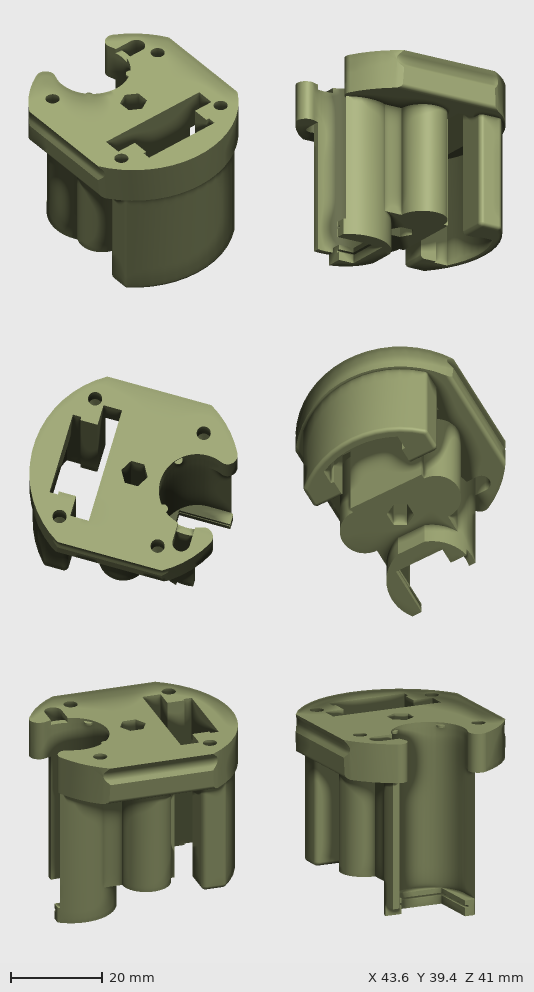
import cadquery as cq
import math

PLATE_RADIUS = 23.0
PLATE_THICKNESS = 8.8
FLAT_SPACING = 39.4
FLAT_Y = FLAT_SPACING / 2
FLAT_DRAFT = 0.17
GROOVE_HEIGHT = 4.0
GROOVE_DEPTH = 1.2
GROOVE_ROUND = 2.0
FLAT_BOTTOM_ROUND = 1.0

TUBE_X = -14.28
BORE_RADIUS = 8.4
TUBE_RADIUS = 9.95
TUBE_END_X = -4.88
LIP_ROUND = 2.18
SHORT_WALL_Z = -38.52

BASE_BOTTOM_Z = -41.0
BASE_TOP_Z = -37.45
BASE_LEFT_X = -20.1
WINDOW_HALF_Y = 5.8
WINDOW_END_X = -8.5
CLIP_DEPTH = 0.85
CLIP_TOP_Z = SHORT_WALL_Z
CLIP_HEIGHT = 0.55

SLOT_LEFT_X = -16.15
SLOT_RIGHT_X = -12.28
SLOT_END_Y = 14.35
SLOT_STEP_Z = -1.18

BLOCK_BOTTOM_Z = -33.8
LOBE_RADIUS = 5.5
LOBE_Y = 8.9
HEX_ACROSS_FLATS = 5.2

LEG_BOTTOM_Z = -34.85
LEG_RADIUS = 22.3
LEG_HALF_Y = 15.4
LEG_EDGE_ROUND = 1.0
LEG_BOTTOM_ROUND = 0.85
LEG_WALL = 2.0
RING_INSIDE_TOP_Z = -10.0
POCKET_LEFT_X = 6.6
POCKET_MID_X = 10.85
POCKET_STEP_X = 14.75
POCKET_RIGHT_X = 16.67
POCKET_WIDE_HALF_Y = 13.15
POCKET_NECK_HALF_Y = 8.5
POCKET_BACK_HALF_Y = 9.25

SCREW_DIAMETER = 3.1
SCREW_DEPTH = 5.22
SCREW_TIP_ANGLE = 118.0
SCREW_PLACES = [(-9.45, 14.55), (-11.95, -13.05), (13.0, 13.97), (13.0, -14.05)]

DISC_DIAMETER = 2.0
DISC_THICKNESS = 0.5
DISC_TOP_Z = -0.5
DISC_ANGLES = (44, -44)


def box(x0, x1, y0, y1, z0, z1):
    return cq.Workplane("XY").box(x1 - x0, y1 - y0, z1 - z0, centered=False).translate((x0, y0, z0))


def cylinder(x, y, radius, z0, z1):
    return cq.Workplane("XY").workplane(offset=z0).center(x, y).circle(radius).extrude(z1 - z0)


def make_plate_disc():
    """Disc with an open mouth: each tip is an arc tangent to both the rim and the bore."""
    rim_reach = PLATE_RADIUS - LIP_ROUND
    bore_reach = BORE_RADIUS + LIP_ROUND
    tip_x = (rim_reach**2 - bore_reach**2 + TUBE_X**2) / (2 * TUBE_X)
    tip_y = math.sqrt(rim_reach**2 - tip_x**2)
    rim_x = tip_x * PLATE_RADIUS / rim_reach
    rim_y = tip_y * PLATE_RADIUS / rim_reach
    bore_x = TUBE_X + (tip_x - TUBE_X) * BORE_RADIUS / bore_reach
    bore_y = tip_y * BORE_RADIUS / bore_reach
    out_x = (rim_x + bore_x) / 2 - tip_x
    out_y = (rim_y + bore_y) / 2 - tip_y
    stretch = LIP_ROUND / math.hypot(out_x, out_y)
    mid_x = tip_x + out_x * stretch
    mid_y = tip_y + out_y * stretch
    return (
        cq.Workplane("XY").workplane(offset=-PLATE_THICKNESS)
        .moveTo(rim_x, rim_y)
        .threePointArc((PLATE_RADIUS, 0), (rim_x, -rim_y))
        .threePointArc((mid_x, -mid_y), (bore_x, -bore_y))
        .threePointArc((TUBE_X + BORE_RADIUS, 0), (bore_x, bore_y))
        .threePointArc((mid_x, mid_y), (rim_x, rim_y))
        .close().extrude(PLATE_THICKNESS)
    )


def make_plate():
    """Plate disc trimmed to the profile of its two flats."""
    disc = make_plate_disc()
    foot_y = FLAT_Y - FLAT_DRAFT
    profile = (
        cq.Workplane("YZ").workplane(offset=-PLATE_RADIUS)
        .moveTo(-FLAT_Y, 0)
        .lineTo(FLAT_Y, 0)
        .lineTo(FLAT_Y - GROOVE_DEPTH, -GROOVE_HEIGHT / 2)
        .lineTo(FLAT_Y, -GROOVE_HEIGHT)
        .lineTo(foot_y, -PLATE_THICKNESS)
        .lineTo(-foot_y, -PLATE_THICKNESS)
        .lineTo(-FLAT_Y, -GROOVE_HEIGHT)
        .lineTo(-FLAT_Y + GROOVE_DEPTH, -GROOVE_HEIGHT / 2)
        .close().extrude(2 * PLATE_RADIUS)
    )
    apex_y = FLAT_Y - GROOVE_DEPTH
    apex_z = -GROOVE_HEIGHT / 2
    for y in (-apex_y, apex_y):
        profile = profile.edges(cq.selectors.NearestToPointSelector((0, y, apex_z))).fillet(GROOVE_ROUND)
    profile = profile.faces("<Z").edges("|X").fillet(FLAT_BOTTOM_ROUND)
    return disc.intersect(profile)


def make_block():
    block = box(TUBE_X, POCKET_LEFT_X, -LOBE_Y, LOBE_Y, BLOCK_BOTTOM_Z, -PLATE_THICKNESS)
    for y in (-LOBE_Y, LOBE_Y):
        block = block.union(cylinder(0, y, LOBE_RADIUS, BLOCK_BOTTOM_Z, -PLATE_THICKNESS))
    return block


def make_leg_ring():
    """Segment of a round bar; the pocket later shapes it into two legs joined by a round wall."""
    segment = cylinder(0, 0, LEG_RADIUS, LEG_BOTTOM_Z, -PLATE_THICKNESS).intersect(
        box(POCKET_MID_X, LEG_RADIUS, -LEG_HALF_Y, LEG_HALF_Y, LEG_BOTTOM_Z, -PLATE_THICKNESS))
    return segment.edges("|Z").fillet(LEG_EDGE_ROUND).faces("<Z").edges().fillet(LEG_BOTTOM_ROUND)


def make_tube_outside():
    outside = cylinder(TUBE_X, 0, TUBE_RADIUS, BASE_BOTTOM_Z, -PLATE_THICKNESS)
    return outside.intersect(box(BASE_LEFT_X, TUBE_END_X, -TUBE_RADIUS, TUBE_RADIUS,
                                 BASE_BOTTOM_Z, -PLATE_THICKNESS))


def cut_trough(body):
    """Open the tube toward -X, ending its +Y wall early and clearing the floor corner beside it."""
    far_left = TUBE_X - TUBE_RADIUS
    body = body.cut(cylinder(TUBE_X, 0, BORE_RADIUS, BASE_TOP_Z, -PLATE_THICKNESS))
    mouth = box(far_left, TUBE_X, -BORE_RADIUS, 0, BASE_TOP_Z, -PLATE_THICKNESS)
    beyond_short_wall = box(far_left, SLOT_LEFT_X, 0, TUBE_RADIUS, BASE_BOTTOM_Z, -PLATE_THICKNESS)
    under_short_wall = box(far_left, SLOT_RIGHT_X, 0, TUBE_RADIUS, BASE_BOTTOM_Z, SHORT_WALL_Z)
    floor_corner = cylinder(TUBE_X, 0, BORE_RADIUS, SHORT_WALL_Z, BASE_TOP_Z).intersect(
        box(far_left, SLOT_RIGHT_X, 0, BORE_RADIUS, SHORT_WALL_Z, BASE_TOP_Z))
    return body.cut(mouth).cut(beyond_short_wall).cut(under_short_wall).cut(floor_corner)


def cut_base_window(body):
    """Rectangular window in the base floor with a thin groove around its walls."""
    far_left = TUBE_X - TUBE_RADIUS
    window = box(far_left, WINDOW_END_X, -WINDOW_HALF_Y, WINDOW_HALF_Y, BASE_BOTTOM_Z, BASE_TOP_Z)
    clip_half_y = WINDOW_HALF_Y + CLIP_DEPTH
    clip = box(far_left, WINDOW_END_X + CLIP_DEPTH, -clip_half_y, clip_half_y,
               CLIP_TOP_Z - CLIP_HEIGHT, CLIP_TOP_Z)
    return body.cut(window).cut(clip)


def cut_wire_slot(body):
    """Round-ended slot through the plate that leaves the tube wall standing inside it."""
    width = SLOT_RIGHT_X - SLOT_LEFT_X
    round_y = SLOT_END_Y - width / 2
    slot = box(SLOT_LEFT_X, SLOT_RIGHT_X, 0, round_y, -PLATE_THICKNESS, 0)
    slot = slot.union(cylinder((SLOT_LEFT_X + SLOT_RIGHT_X) / 2, round_y, width / 2, -PLATE_THICKNESS, 0))
    kept_wall = cylinder(TUBE_X, 0, TUBE_RADIUS, -PLATE_THICKNESS, SLOT_STEP_Z)
    return body.cut(slot.cut(kept_wall))


def cut_pocket(body):
    steps = [
        (POCKET_LEFT_X, POCKET_MID_X, POCKET_WIDE_HALF_Y),
        (POCKET_MID_X, POCKET_STEP_X, POCKET_NECK_HALF_Y),
        (POCKET_STEP_X, POCKET_RIGHT_X, POCKET_BACK_HALF_Y),
    ]
    for x0, x1, half_y in steps:
        body = body.cut(box(x0, x1, -half_y, half_y, LEG_BOTTOM_Z, 0))
    return body


def cut_ring_inside(body):
    """Widen the pocket below the plate out to the round inner face of the leg ring."""
    inside = cylinder(0, 0, LEG_RADIUS - LEG_WALL, LEG_BOTTOM_Z, RING_INSIDE_TOP_Z).intersect(
        box(POCKET_STEP_X, LEG_RADIUS, -POCKET_BACK_HALF_Y, POCKET_BACK_HALF_Y,
            LEG_BOTTOM_Z, RING_INSIDE_TOP_Z))
    return body.cut(inside)


def cut_hex_hole(body):
    across_corners = HEX_ACROSS_FLATS / math.cos(math.pi / 6)
    hexagon = cq.Workplane("XY").polygon(6, across_corners).extrude(BLOCK_BOTTOM_Z)
    return body.cut(hexagon)


def cut_screw_holes(body):
    radius = SCREW_DIAMETER / 2
    tip = radius / math.tan(math.radians(SCREW_TIP_ANGLE / 2))
    drill = (
        cq.Workplane("XZ")
        .polyline([(0, 0), (radius, 0), (radius, -SCREW_DEPTH), (0, -SCREW_DEPTH - tip)])
        .close().revolve(360, (0, 0), (0, 1))
    )
    for x, y in SCREW_PLACES:
        body = body.cut(drill.translate((x, y, 0)))
    return body


def make_contact_disc(angle):
    x = TUBE_X + BORE_RADIUS * math.cos(math.radians(angle))
    y = BORE_RADIUS * math.sin(math.radians(angle))
    return cylinder(x, y, DISC_DIAMETER / 2, DISC_TOP_Z - DISC_THICKNESS, DISC_TOP_Z)


def make_housing():
    body = make_plate().union(make_block()).union(make_leg_ring()).union(make_tube_outside())
    body = cut_trough(body)
    body = cut_base_window(body)
    body = cut_wire_slot(body)
    body = cut_pocket(body)
    body = cut_ring_inside(body)
    body = cut_hex_hole(body)
    return cut_screw_holes(body)


contact_discs = [make_contact_disc(angle) for angle in DISC_ANGLES]
housing = make_housing()
for disc in contact_discs:
    housing = housing.cut(disc)

result = cq.Compound.makeCompound([housing.val(), *[disc.val() for disc in contact_discs]])